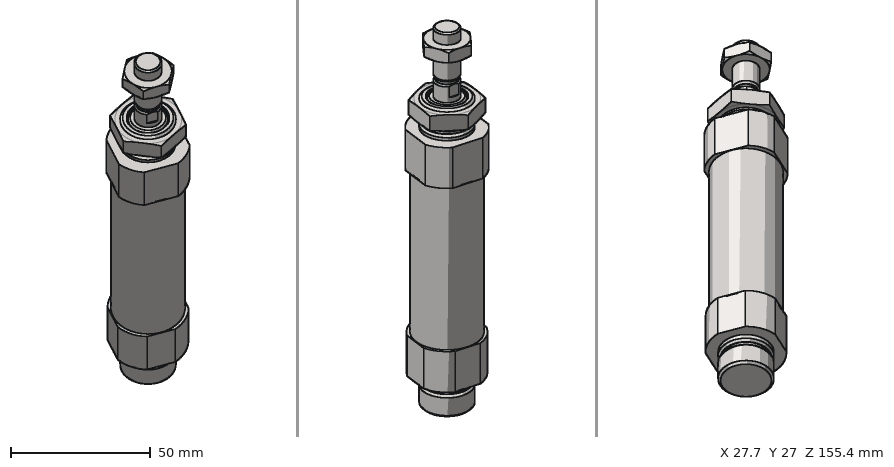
import cadquery as cq
import math

overall_length = 155.4
rear_thread_top = 8.2
rear_collar_bottom = 11.3
rear_head_bottom = 13.0
head_length = 16.8
front_head_top = 114.0
front_collar_top = 115.3
front_thread_bottom = 118.3
front_thread_top = 126.8

head_across_flats = 27.0
front_head_diameter = 30.0
rear_head_diameter = 29.0
tube_diameter = 26.5
mount_thread_diameter = 20.0
relief_edge_diameter = 18.3
relief_diameter = 17.9
mount_thread_chamfer = 1.0
relief_taper = 1.0

groove_diameter = 15.2
groove_depth = 0.8
lip_base_diameter = 14.1
lip_top_diameter = 12.7

rod_diameter = 10.0
rod_across_flats = 9.0
rod_flat_bottom = 129.0
rod_shank_top = 134.0
rod_thread_bottom = 136.0
rod_neck_edge_diameter = 8.7
rod_neck_diameter = 8.4
rod_neck_taper = 1.0
rod_chamfer = 0.6

mount_nut_across_flats = 24.0
mount_nut_thickness = 6.7
mount_nut_bottom = 119.2
mount_nut_chamfer_height = 0.39
rod_nut_across_flats = 17.0
rod_nut_thickness = 5.3
rod_nut_bottom = 145.3
rod_nut_chamfer_height = 0.6

corners_on_x = 0
corners_on_y = 30

rear_head_top = rear_head_bottom + head_length
front_head_bottom = front_head_top - head_length
rod_bottom = front_head_bottom


def revolved(profile):
    """Solid of revolution about Z from the (radius, z) points of a closed outline."""
    return cq.Workplane("XZ").polyline(profile).close().revolve(360, (0, 0, 0), (0, 1, 0))


def cylinder(diameter, bottom, top):
    """Upright cylinder on the Z axis between two heights."""
    return cq.Workplane("XY").workplane(offset=bottom).circle(diameter / 2).extrude(top - bottom)


def make_head(diameter, bottom):
    """Round head with four wrench flats, facing X and Y."""
    flats = (
        cq.Workplane("XY")
        .workplane(offset=bottom)
        .rect(head_across_flats, head_across_flats)
        .extrude(head_length)
    )
    return cylinder(diameter, bottom, bottom + head_length).intersect(flats)


def make_spigot(end, thread_start, collar_end, head_face):
    """Threaded spigot with a chamfered end and a stepped relief groove with tapered sides."""
    outward = math.copysign(1, end - head_face)
    thread_radius = mount_thread_diameter / 2
    edge_radius = relief_edge_diameter / 2
    relief_radius = relief_diameter / 2
    relief_start = collar_end + outward * relief_taper
    relief_end = thread_start - outward * relief_taper
    return revolved([
        (0, head_face),
        (thread_radius, head_face),
        (thread_radius, collar_end),
        (edge_radius, relief_start),
        (relief_radius, relief_start),
        (relief_radius, relief_end),
        (edge_radius, relief_end),
        (thread_radius, thread_start),
        (thread_radius, end - outward * mount_thread_chamfer),
        (thread_radius - mount_thread_chamfer, end),
        (0, end),
    ])


def make_lip_groove():
    """Ring cut from the front face, with a straight outer wall and a conical inner wall."""
    groove_floor = front_thread_top - groove_depth
    return revolved([
        (lip_base_diameter / 2, groove_floor),
        (groove_diameter / 2, groove_floor),
        (groove_diameter / 2, front_thread_top),
        (lip_top_diameter / 2, front_thread_top),
    ])


def make_housing():
    """Tube with both heads and spigots, bored from the front for the rod."""
    tube = cylinder(tube_diameter, rear_head_top, front_head_bottom)
    rear_head = make_head(rear_head_diameter, rear_head_bottom)
    front_head = make_head(front_head_diameter, front_head_bottom)
    rear_spigot = make_spigot(0, rear_thread_top, rear_collar_bottom, rear_head_bottom)
    front_spigot = make_spigot(front_thread_top, front_thread_bottom, front_collar_top, front_head_top)
    rod_bore = cylinder(rod_diameter, rod_bottom, front_thread_top)
    solid = tube.union(rear_head).union(front_head).union(rear_spigot).union(front_spigot)
    return solid.cut(rod_bore).cut(make_lip_groove())


def make_rod():
    """Rod with a chamfered thread, a neck below the thread and two flats facing X."""
    radius = rod_diameter / 2
    edge_radius = rod_neck_edge_diameter / 2
    neck_radius = rod_neck_diameter / 2
    neck_top = rod_thread_bottom - rod_neck_taper
    rod = revolved([
        (0, rod_bottom),
        (radius, rod_bottom),
        (radius, rod_shank_top - rod_chamfer),
        (edge_radius, rod_shank_top),
        (neck_radius, rod_shank_top),
        (neck_radius, neck_top),
        (edge_radius, neck_top),
        (radius, rod_thread_bottom),
        (radius, overall_length - rod_chamfer),
        (radius - rod_chamfer, overall_length),
        (0, overall_length),
    ])
    flat_cut_depth = (rod_diameter - rod_across_flats) / 2
    for side in (-1, 1):
        flat_cut = cq.Workplane("XY").box(
            flat_cut_depth, rod_diameter, rod_shank_top - rod_flat_bottom, centered=(True, True, False)
        )
        cut_x = side * (rod_across_flats + flat_cut_depth) / 2
        rod = rod.cut(flat_cut.translate((cut_x, 0, rod_flat_bottom)))
    return rod


def make_nut(across_flats, thickness, chamfer_height, hole_diameter, bottom, turn):
    """Hexagon nut whose corners are chamfered on both faces, turned about Z by turn degrees."""
    face_radius = across_flats / 2
    corner_radius = across_flats / math.sqrt(3)
    hexagon = cq.Workplane("XY").polygon(6, 2 * corner_radius).extrude(thickness)
    chamfered_round = revolved([
        (0, 0),
        (face_radius, 0),
        (corner_radius, chamfer_height),
        (corner_radius, thickness - chamfer_height),
        (face_radius, thickness),
        (0, thickness),
    ])
    nut = hexagon.intersect(chamfered_round).cut(cylinder(hole_diameter, 0, thickness))
    return nut.rotate((0, 0, 0), (0, 0, 1), turn).translate((0, 0, bottom))


housing = make_housing()
rod = make_rod()
mount_nut = make_nut(
    mount_nut_across_flats, mount_nut_thickness, mount_nut_chamfer_height,
    mount_thread_diameter, mount_nut_bottom, corners_on_x,
)
rod_nut = make_nut(
    rod_nut_across_flats, rod_nut_thickness, rod_nut_chamfer_height,
    rod_diameter, rod_nut_bottom, corners_on_y,
)

result = cq.Compound.makeCompound([housing.val(), rod.val(), mount_nut.val(), rod_nut.val()])